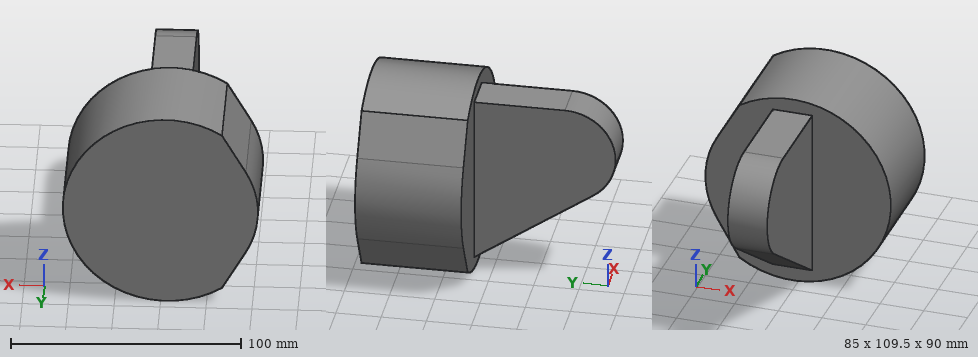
import cadquery as cq
import math

body_radius = 45.0
lobe_radius = 40.0
lobe_half_angle = 30.0
body_depth = 47.0

grip_width = 18.0
grip_half_height = 38.5
grip_length = 62.5
nose_radius = 22.5


def make_body():
    """Block whose flats leave the lobe tangentially and run out to the body circle."""
    angle = math.radians(lobe_half_angle)
    flat_length = math.sqrt(body_radius**2 - lobe_radius**2)
    tangent_x = -lobe_radius * math.cos(angle)
    tangent_z = lobe_radius * math.sin(angle)
    corner_x = tangent_x + flat_length * math.sin(angle)
    corner_z = tangent_z + flat_length * math.cos(angle)
    return (
        cq.Workplane("XZ")
        .moveTo(corner_x, corner_z)
        .threePointArc((body_radius, 0), (corner_x, -corner_z))
        .lineTo(tangent_x, -tangent_z)
        .threePointArc((-lobe_radius, 0), (tangent_x, tangent_z))
        .close()
        .extrude(-body_depth)
    )


def make_grip():
    """Plate with a flat top, a rounded nose and a sloping underside tangent to the nose."""
    nose_y = -(grip_length - nose_radius)
    nose_z = grip_half_height - nose_radius

    root_rise = nose_z + grip_half_height
    root_distance = math.hypot(nose_y, root_rise)
    direction_to_root = math.atan2(-root_rise, -nose_y)
    tangent_angle = direction_to_root - math.acos(nose_radius / root_distance)
    tangent_y = nose_y + nose_radius * math.cos(tangent_angle)
    tangent_z = nose_z + nose_radius * math.sin(tangent_angle)

    return (
        cq.Workplane("YZ")
        .moveTo(0, -grip_half_height)
        .lineTo(0, grip_half_height)
        .lineTo(nose_y, grip_half_height)
        .threePointArc((-grip_length, nose_z), (tangent_y, tangent_z))
        .close()
        .extrude(grip_width / 2, both=True)
    )


result = make_body().union(make_grip())